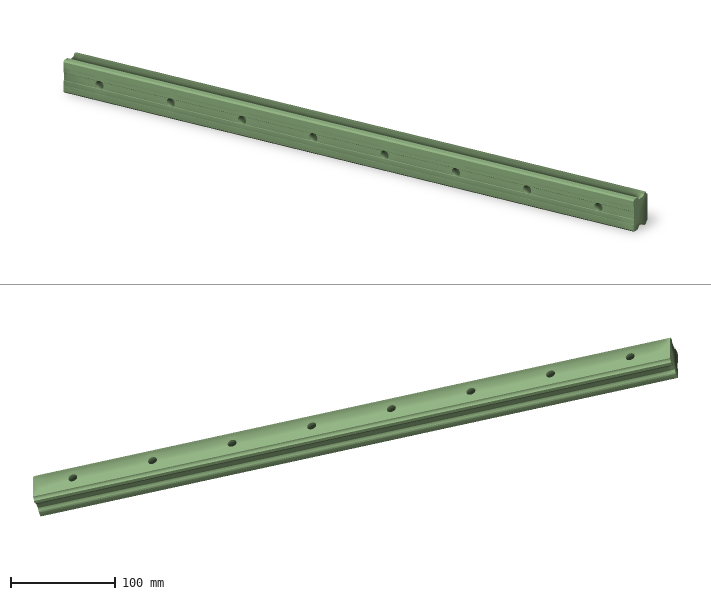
import cadquery as cq

length = 640.0
height = 26.0
width = 34.0
half_width = width / 2
base_y = -height / 2

relief_width = 18.5
relief_depth = 0.5
channel_width = 8.0
channel_floor_width = 8.0
channel_depth = 0.95

base_chamfer = 1.55
base_side_top = 7.0
shoulder_height = 8.0
shoulder_inset = 0.5
waist_bottom = 10.0
waist_top = 16.0
waist_inset = 3.0

lower_groove_bottom = 18.0
lower_groove_top = 20.0
lower_groove_inset = 2.5
lower_groove_sag = 0.5
upper_groove_height = 2.9
upper_groove_inset = 3.0
upper_groove_sag = 0.95

hole_count = 8
hole_diameter = 9.0
hole_pitch = length / hole_count


def section_point(rise, inset):
    """Point of the section at a height above the base and a distance in from the side."""
    return (base_y + rise, half_width - inset)


def half_rail():
    """The half of the rail on the +Z side of its centre plane, without holes."""
    return (
        cq.Workplane("YZ", origin=(-length / 2, 0, 0))
        .moveTo(base_y + channel_depth, 0)
        .lineTo(base_y + channel_depth, channel_floor_width / 2)
        .lineTo(base_y + relief_depth, channel_width / 2)
        .lineTo(base_y + relief_depth, relief_width / 2)
        .lineTo(base_y, relief_width / 2)
        .lineTo(*section_point(0, base_chamfer))
        .lineTo(*section_point(base_chamfer, 0))
        .lineTo(*section_point(base_side_top, 0))
        .lineTo(*section_point(shoulder_height, shoulder_inset))
        .lineTo(*section_point(waist_bottom, waist_inset))
        .lineTo(*section_point(waist_top, waist_inset))
        .lineTo(*section_point(lower_groove_bottom, lower_groove_inset))
        .sagittaArc(section_point(lower_groove_top, 0), -lower_groove_sag)
        .lineTo(*section_point(height - upper_groove_height, 0))
        .sagittaArc(section_point(height, upper_groove_inset), -upper_groove_sag)
        .lineTo(base_y + height, 0)
        .close()
        .extrude(length)
    )


def mounting_holes():
    """Evenly pitched through holes along the rail's centre line."""
    return (
        cq.Workplane("XZ")
        .rarray(hole_pitch, 6.5, hole_count, 1)
        .circle(hole_diameter / 2)
        .extrude(height, both=True)
    )


upper_half = half_rail()
rail = upper_half.union(upper_half.mirror("XY")).clean()
result = rail.cut(mounting_holes())